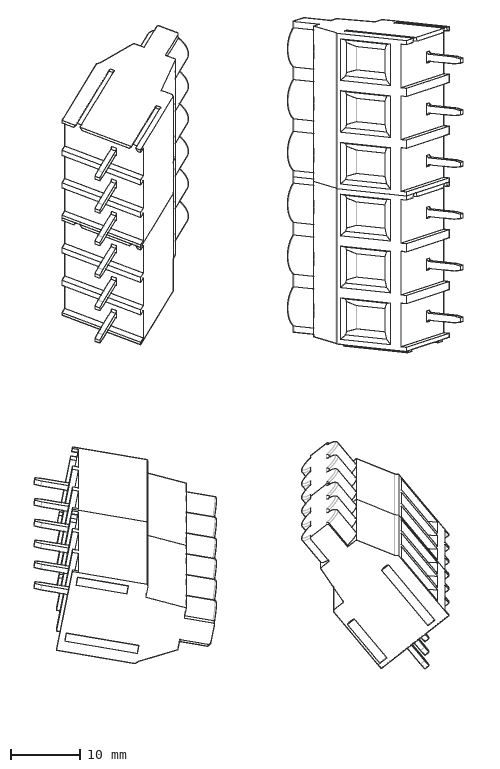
import cadquery as cq


overall_height = 46.3
key_height = 0.6
module_count = 2
ways_per_module = 3
module_height = (overall_height - key_height) / module_count
pitch = module_height / ways_per_module

width = 12.6
front_y = 0.9
wire_side_y = 11.55
wire_chamfer = 0.4
shoulder_y = 17.25
step_y = 11.15
step_x = 10.55
step_chamfer = 0.25

rib_half_height = 0.6

back_y = 21.72
tower_x = 6.62
tower_diameter = 6.7
plate_width = 3.45
back_fillet = 0.3

pocket_mouth_half = 3.05
pocket_break_half = 2.65
pocket_floor_half = 1.7
pocket_break_depth = 1.5
pocket_side_depth = 1.75
pocket_depth = 2.1
pocket_mouth_y = (2.6, 10.95)
pocket_floor_y = (4.72, 9.45)

key_neck = 0.65
key_foot = 1.3
wire_key_x = 2.55
wire_key_end_y = wire_side_y
far_key_x = 11.5
far_key_end_y = 8.35

pin_x = 7.9
pin_thickness = 0.8
pin_end_y = -4.72
pin_half = 0.5
pin_root_half = 0.85
pin_root_length = 0.3
pin_tip_half = 0.32
pin_taper_length = 1.0


def housing_body():
    """Main prism up to the shoulder that carries the screw towers."""
    tower_radius = tower_diameter / 2
    outline = [
        (0, front_y),
        (0, wire_side_y),
        (wire_chamfer, wire_side_y + wire_chamfer),
        (tower_x - tower_radius, shoulder_y),
        (tower_x + tower_radius, shoulder_y),
        (step_x, step_y),
        (width - step_chamfer, step_y),
        (width, step_y - step_chamfer),
        (width, front_y),
    ]
    return cq.Workplane("XY").polyline(outline).close().extrude(module_height)


def rib(boundary):
    """Rib on one boundary between ways, kept within the ends of the module."""
    bottom = max(boundary * pitch - rib_half_height, 0)
    top = min(boundary * pitch + rib_half_height, module_height)
    return cq.Workplane("XY").box(width, front_y, top - bottom, centered=False).translate((0, 0, bottom))


def tower_plate():
    """Plate joining the screw towers, with rounded back edges."""
    length = back_y - shoulder_y
    plate = cq.Workplane("XY").box(plate_width, length, module_height, centered=False)
    plate = plate.edges("|Z and >Y").fillet(back_fillet)
    return plate.translate((tower_x - plate_width / 2, shoulder_y, 0))


def screw_tower(way_z):
    """Round screw tower with a rounded back rim."""
    tower = cq.Workplane("XZ").circle(tower_diameter / 2).extrude(-(back_y - shoulder_y))
    return tower.faces(">Y").edges().fillet(back_fillet).translate((tower_x, shoulder_y, way_z))


def wire_pocket(way_z):
    """Wire funnel: the common volume of its side profile and its plan profile."""
    side_profile = [
        (0, -pocket_mouth_half),
        (pocket_break_depth, -pocket_break_half),
        (pocket_depth, -pocket_floor_half),
        (pocket_depth, pocket_floor_half),
        (pocket_break_depth, pocket_break_half),
        (0, pocket_mouth_half),
    ]
    plan_profile = [
        (0, pocket_mouth_y[0]),
        (pocket_depth, pocket_floor_y[0]),
        (pocket_depth, pocket_floor_y[1]),
        (pocket_side_depth, pocket_mouth_y[1]),
        (0, pocket_mouth_y[1]),
    ]
    side = cq.Workplane("XZ").polyline(side_profile).close().extrude(-shoulder_y)
    plan = cq.Workplane("XY").polyline(plan_profile).close().extrude(pocket_mouth_half, both=True)
    return side.intersect(plan).translate((0, 0, way_z))


def dovetail(center_x, start_y, end_y, neck_z):
    """Dovetail bar along Y that widens downward from its neck."""
    foot_z = neck_z - key_height
    section = [
        (center_x - key_neck / 2, neck_z),
        (center_x + key_neck / 2, neck_z),
        (center_x + key_foot / 2, foot_z),
        (center_x - key_foot / 2, foot_z),
    ]
    bar = cq.Workplane("XZ", origin=(0, start_y, 0)).polyline(section).close()
    return bar.extrude(-(end_y - start_y))


def solder_pin(way_z):
    """Flat pin with a flared root and a tapered tip."""
    root_end_y = front_y - pin_root_length
    taper_start_y = pin_end_y + pin_taper_length
    upper_edge = [
        (front_y, pin_root_half),
        (root_end_y, pin_half),
        (taper_start_y, pin_half),
        (pin_end_y, pin_tip_half),
    ]
    lower_edge = [(y, -half) for y, half in reversed(upper_edge)]
    pin = cq.Workplane("YZ").polyline(upper_edge + lower_edge).close()
    return pin.extrude(pin_thickness / 2, both=True).translate((pin_x, 0, way_z))


def terminal_module(base_z):
    """Complete three-way module with its lower face at base_z."""
    module = housing_body().union(tower_plate())
    for boundary in range(ways_per_module + 1):
        module = module.union(rib(boundary))
    for way in range(ways_per_module):
        way_z = (way + 0.5) * pitch
        module = module.union(screw_tower(way_z))
        module = module.union(solder_pin(way_z))
        module = module.cut(wire_pocket(way_z))
    for key_x, key_end_y in ((wire_key_x, wire_key_end_y), (far_key_x, far_key_end_y)):
        module = module.cut(dovetail(key_x, 0, key_end_y, module_height))
        module = module.union(dovetail(key_x, front_y, key_end_y, 0))
    return module.translate((0, 0, base_z))


modules = [terminal_module(key_height + index * module_height) for index in range(module_count)]

result = cq.Compound.makeCompound([module.solids().val() for module in modules])